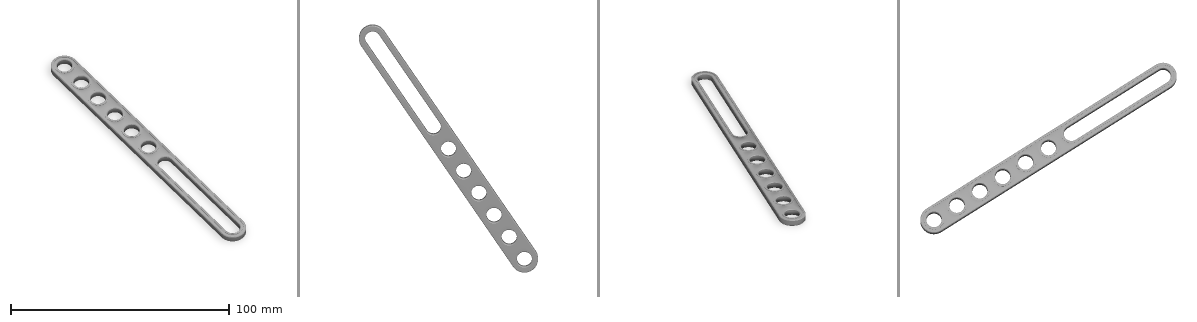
import cadquery as cq

length = 137.5
pitch = length / 11
width = pitch
thickness = 3.2
hole_diameter = 7.0
collar_diameter = 9.2
rim_width = 1.1
recess_depth = 0.2
edge_chamfer = 0.3
round_hole_count = 6

first_hole_x = -(length - width) / 2
slot_start_x = first_hole_x + round_hole_count * pitch
slot_end_x = -first_hole_x
hole_xs = [first_hole_x + i * pitch for i in range(round_hole_count)]
floor_z = thickness - recess_depth


def stadium(start_x, end_x, diameter, bottom_z, height):
    """Round-ended prism whose end arcs are centred at start_x and end_x."""
    return (
        cq.Workplane("XY", origin=((start_x + end_x) / 2, 0, bottom_z))
        .slot2D(end_x - start_x + diameter, diameter)
        .extrude(height)
    )


def openings(diameter, bottom_z, height):
    """Prisms around the round holes and the long slot, all of one diameter."""
    slot = stadium(slot_start_x, slot_end_x, diameter, bottom_z, height)
    round_holes = (
        cq.Workplane("XY", origin=(0, 0, bottom_z))
        .pushPoints([(x, 0) for x in hole_xs])
        .circle(diameter / 2)
        .extrude(height)
    )
    return slot.union(round_holes)


bar = stadium(first_hole_x, slot_end_x, width, 0, thickness)
bar = bar.cut(openings(hole_diameter, 0, thickness))
bar = bar.faces("<Z or >Z").edges().chamfer(edge_chamfer)

recess = stadium(first_hole_x, slot_end_x, width - 2 * rim_width, floor_z, recess_depth)
recess = recess.cut(openings(collar_diameter, floor_z, recess_depth))

result = bar.cut(recess)